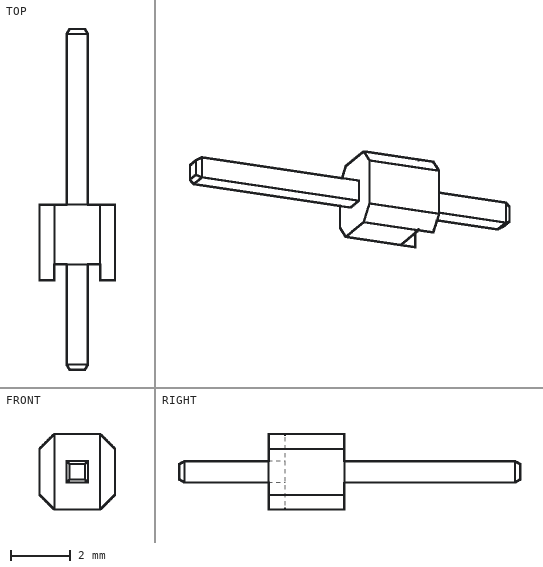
import cadquery as cq
import math

pitch = 2.54
bevel = 0.5
web_thickness = 2.0
channel_depth = pitch - web_thickness
channel_width = pitch - 2 * bevel

pin_width = 0.72
pin_length = 11.44
pin_rear_reach = 5.9
tip_length = 0.18
tip_inset = 0.1

body_rear = pitch / 2
body_front = -pitch / 2
pin_rear = body_rear + pin_rear_reach
pin_front = pin_rear - pin_length


def make_body():
    block = cq.Workplane("XY").box(pitch, pitch, pitch).edges("|Y").chamfer(bevel)
    channel = (
        cq.Workplane("XY")
        .box(channel_width, channel_depth, pitch)
        .translate((0, body_front + channel_depth / 2, 0))
    )
    return block.cut(channel)


def make_pin():
    shank_length = pin_length - 2 * tip_length
    tip_taper = math.degrees(math.atan(tip_inset / tip_length))
    pin = (
        cq.Workplane("XY")
        .box(pin_width, shank_length, pin_width)
        .translate((0, (pin_front + pin_rear) / 2, 0))
    )
    for end in ("<Y", ">Y"):
        pin = (
            pin.faces(end).workplane(centerOption="CenterOfBoundBox")
            .rect(pin_width, pin_width)
            .extrude(tip_length, taper=tip_taper)
        )
    return pin


result = make_body().union(make_pin())